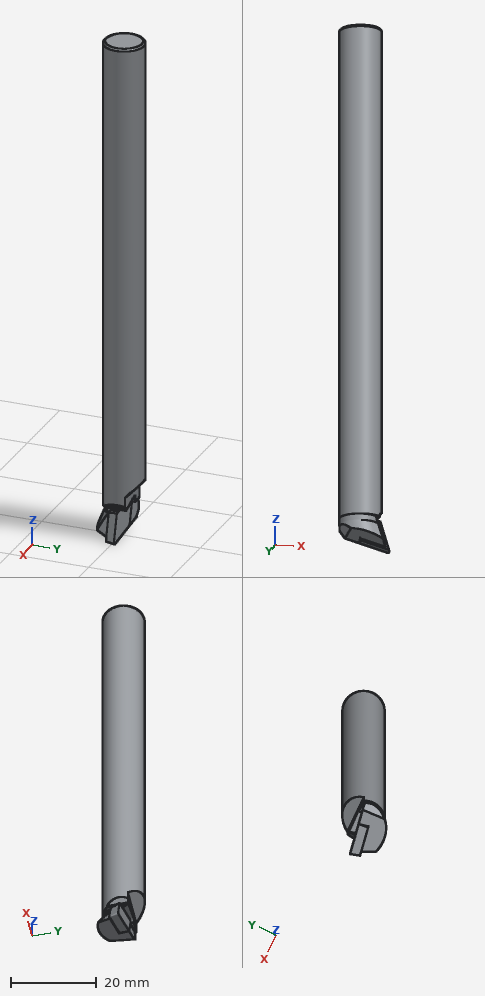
import cadquery as cq
import math


TOTAL_LENGTH = 126.2
SHANK_DIAMETER = 10.0
SHANK_RADIUS = SHANK_DIAMETER / 2
SHANK_BOTTOM = 7.7
TOP_CHAMFER = 0.5

FLAT_Y = 2.0
FLAT_TOP = 11.2
RUN_OUT = SHANK_RADIUS - FLAT_Y

NECK_RADIUS = 4.7
NECK_X = NECK_RADIUS - SHANK_RADIUS
NECK_BOTTOM = 6.2

HEAD_BASE_RADIUS = 6.3
HEAD_BASE_X = HEAD_BASE_RADIUS - SHANK_RADIUS
HEAD_BASE_Y = -0.5
END_CLEARANCE = 16.0
SIDE_CLEARANCE = 5.0
HEAD_SETBACK = 0.9
HEEL_X = -3.4
HEEL_ANGLE = 127.0

NOTCH_DEPTH = 1.1
NOTCH_TOP = 9.3

INSERT_EDGE = 7.7
INSERT_ANGLE = 55.0
INSERT_THICKNESS = 2.4
INSERT_CLEARANCE = 7.0
NOSE_RADIUS = 0.4
TIP_X = 7.2
TIP_Y = 0.3
TIP_Z = -0.2
END_EDGE_ANGLE = 162.0
RAKE_X = 0.17
RAKE_Z = 0.07

REACH = 15.2


def direction(angle, length):
    """Offset of the given length at an angle in degrees."""
    return (length * math.cos(math.radians(angle)), length * math.sin(math.radians(angle)))


def rake_plane():
    """Plane of the insert's rake face; local X runs along the lower cutting edge."""
    edge_x, edge_z = direction(END_EDGE_ANGLE, 1.0)
    edge_y = -RAKE_X * edge_x - RAKE_Z * edge_z
    return cq.Plane(
        origin=(TIP_X, TIP_Y, TIP_Z),
        xDir=(edge_x, edge_y, edge_z),
        normal=(RAKE_X, 1.0, RAKE_Z),
    )


def insert_outline():
    """Rhombus with rounded acute corners; the cutting tip is at the origin."""
    side_x, side_y = direction(INSERT_ANGLE, INSERT_EDGE)
    corners = [(0, 0), (INSERT_EDGE, 0), (INSERT_EDGE + side_x, side_y), (side_x, side_y)]
    rhombus = cq.Sketch().polygon(corners + corners[:1])
    return rhombus.vertices("<X or >X").fillet(NOSE_RADIUS)


def make_insert():
    """Rhombic insert with clearance on its sides."""
    top = cq.Workplane(rake_plane()).placeSketch(insert_outline())
    return top.extrude(-INSERT_THICKNESS, taper=INSERT_CLEARANCE)


def make_pocket_opening():
    """Open space in front of the rake face, through which the insert is fitted."""
    return cq.Workplane(rake_plane()).placeSketch(insert_outline()).extrude(REACH)


def make_shank():
    """Round shank with a chamfered upper end and a notch above the insert."""
    shank = (
        cq.Workplane("XY")
        .workplane(offset=SHANK_BOTTOM)
        .circle(SHANK_RADIUS)
        .extrude(TOTAL_LENGTH - SHANK_BOTTOM)
        .faces(">Z")
        .chamfer(TOP_CHAMFER)
    )
    notch = (
        cq.Workplane("XZ")
        .moveTo(SHANK_RADIUS, NOTCH_TOP)
        .lineTo(SHANK_RADIUS - NOTCH_DEPTH, NOTCH_TOP - NOTCH_DEPTH)
        .lineTo(SHANK_RADIUS - NOTCH_DEPTH, SHANK_BOTTOM)
        .lineTo(SHANK_RADIUS, SHANK_BOTTOM)
        .close()
        .extrude(SHANK_RADIUS, both=True)
    )
    return shank.cut(notch)


def make_end_wedge():
    """Tapered stock under the rake plane that relieves the lower end and the heel."""
    heel = (TIP_X - HEEL_X) / -direction(END_EDGE_ANGLE, 1.0)[0]
    heel_x, heel_y = direction(END_EDGE_ANGLE - HEEL_ANGLE, REACH)
    outline = [
        (-REACH, 0),
        (heel, 0),
        (heel + heel_x, heel_y),
        (heel + heel_x, 2 * REACH),
        (-REACH, 2 * REACH),
    ]
    wedge = cq.Workplane(rake_plane()).polyline(outline).close()
    return wedge.extrude(-REACH, taper=END_CLEARANCE)


def make_side_wedge():
    """Tapered stock under the rake plane that relieves the side along the insert."""
    side_x, side_y = direction(INSERT_ANGLE, 2 * REACH)
    outline = [
        (HEAD_SETBACK - side_x, -side_y),
        (2 * REACH, -side_y),
        (2 * REACH, side_y),
        (HEAD_SETBACK + side_x, side_y),
    ]
    wedge = cq.Workplane(rake_plane()).polyline(outline).close()
    return wedge.extrude(-REACH, taper=SIDE_CLEARANCE)


def make_head():
    """Neck and leaning cone, trimmed to the relieved end and side."""
    neck = (
        cq.Workplane("XY")
        .workplane(offset=NECK_BOTTOM)
        .center(NECK_X, 0)
        .circle(NECK_RADIUS)
        .extrude(SHANK_BOTTOM - NECK_BOTTOM)
    )
    cone = (
        cq.Workplane("XY")
        .center(HEAD_BASE_X, HEAD_BASE_Y)
        .circle(HEAD_BASE_RADIUS)
        .workplane(offset=NECK_BOTTOM)
        .center(NECK_X - HEAD_BASE_X, -HEAD_BASE_Y)
        .circle(NECK_RADIUS)
        .loft(ruled=True)
    )
    return neck.union(cone).intersect(make_end_wedge()).intersect(make_side_wedge())


def make_flat_cut():
    """Stock removed on the +Y side to leave the flat and its run-out."""
    return (
        cq.Workplane("YZ")
        .moveTo(FLAT_Y, 0)
        .lineTo(FLAT_Y, FLAT_TOP)
        .lineTo(FLAT_Y + RUN_OUT, FLAT_TOP + RUN_OUT)
        .lineTo(REACH, FLAT_TOP + RUN_OUT)
        .lineTo(REACH, 0)
        .close()
        .extrude(REACH, both=True)
    )


insert = make_insert()
holder = make_shank().union(make_head()).cut(make_flat_cut())
holder = holder.cut(make_pocket_opening()).cut(insert)

result = cq.Compound.makeCompound([holder.val(), insert.val()])